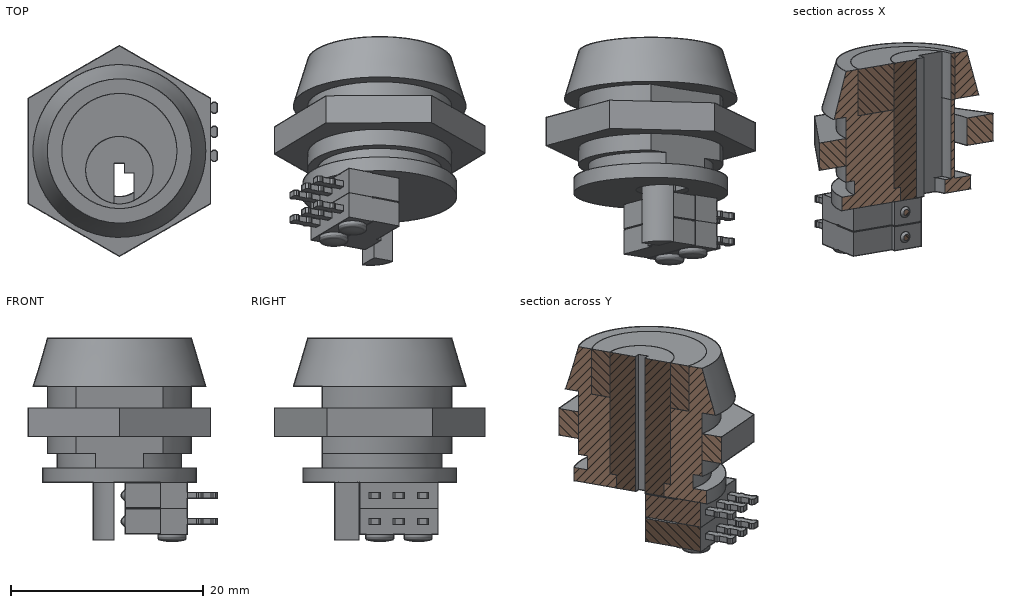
import cadquery as cq
import math


head_bottom_radius = 9.0
head_top_radius = 7.5
head_height = 5.0
barrel_radius = head_top_radius
barrel_bottom = -12.0
neck_radius = 6.5
neck_bottom = -13.5
flange_radius = 8.0
flange_bottom = -15.0
flat_distance = 6.0

disc_radius = flat_distance
disc_bottom = -head_height

plug_offset = 2.0
plug_radius = 3.5
stem_radius = 2.75
stem_top = neck_bottom
tail_length = 6.0
tail_face_y = -2.15
key_left = -0.55
key_step = 0.53
key_right = 1.51
key_tall_end_y = -1.3
key_short_end_y = -2.3

nut_corners = 21.95
nut_top = -7.25
nut_height = 3.0

switch_count = 2
switch_height = 2.7
case_left = 4.25
case_right = 7.06
cover_left = 0.6
cover_gap = 0.055
cover_setback = 0.5
cover_step_y = 1.3
switch_front = -2.06
switch_back = 6.08

plunger_base_radius = 0.6
plunger_tip_radius = 0.26
plunger_cone_length = 0.33
plunger_dome_height = 0.09

terminal_count = 3
terminal_pitch = 2.5
terminal_first_y = -0.5
terminal_thickness = 0.61
terminal_neck = 0.42
terminal_bulge = 0.6
terminal_ramp = 0.22
terminal_bulge_starts = (8.03, 9.55)

screw_x = 5.48
screw_pitch = 4.0
screw_count = 2
screw_radius = 1.47
screw_side_height = 0.35
screw_rounding = 0.26
screw_dome_height = 0.15


def cylinder(radius, top, bottom, y=0.0):
    """Vertical cylinder between two heights."""
    return cq.Workplane("XY", origin=(0, y, bottom)).circle(radius).extrude(top - bottom)


def box(x_range, y_range, z_range):
    """Box between pairs of limits, each given as (low, high)."""
    sizes = [high - low for low, high in (x_range, y_range, z_range)]
    corner = (x_range[0], y_range[0], z_range[0])
    return cq.Workplane("XY").box(*sizes, centered=False).translate(corner)


def dome_arc_middle(rim_radius, height):
    """Radius, and depth below the crown, of the point halfway along the profile arc of a dome."""
    sphere_radius = (rim_radius**2 + height**2) / (2 * height)
    half_angle = math.asin(rim_radius / sphere_radius) / 2
    return sphere_radius * math.sin(half_angle), sphere_radius * (1 - math.cos(half_angle))


def make_housing():
    outline = [
        (0, 0),
        (head_top_radius, 0),
        (head_bottom_radius, -head_height),
        (barrel_radius, -head_height),
        (barrel_radius, barrel_bottom),
        (neck_radius, barrel_bottom),
        (neck_radius, neck_bottom),
        (flange_radius, neck_bottom),
        (flange_radius, flange_bottom),
        (0, flange_bottom),
    ]
    housing = cq.Workplane("XZ").polyline(outline).close().revolve(360, (0, 0), (0, 1))
    flat_cut = box(
        (-barrel_radius, barrel_radius),
        (-barrel_radius, -flat_distance),
        (neck_bottom, -head_height),
    )
    return (
        housing.cut(flat_cut)
        .cut(cylinder(disc_radius, 0, disc_bottom))
        .cut(cylinder(plug_radius, 0, stem_top, -plug_offset))
        .cut(cylinder(stem_radius, stem_top, flange_bottom, -plug_offset))
    )


def make_disc():
    plug_hole = cylinder(plug_radius, 0, disc_bottom, -plug_offset)
    return cylinder(disc_radius, 0, disc_bottom).cut(plug_hole)


def make_plug():
    """Key plug: stepped cylinder with a key slot, and a part-round tail behind the flange."""
    head = cylinder(plug_radius, 0, stem_top, -plug_offset)
    stem = cylinder(stem_radius, stem_top, flange_bottom, -plug_offset)
    slot_open_y = -plug_offset - plug_radius
    slot_height = (flange_bottom, 0)
    tall_slot = box((key_left, key_step), (slot_open_y, key_tall_end_y), slot_height)
    short_slot = box((key_step, key_right), (slot_open_y, key_short_end_y), slot_height)
    tail_bottom = flange_bottom - tail_length
    tail_corner = box(
        (-stem_radius, key_left),
        (-plug_offset - stem_radius, tail_face_y),
        (tail_bottom, flange_bottom),
    )
    tail = cylinder(stem_radius, flange_bottom, tail_bottom, -plug_offset).intersect(tail_corner)
    return head.union(stem).cut(tall_slot).cut(short_slot).union(tail)


def make_nut():
    """Hexagonal nut with two corners on the Y axis."""
    bottom = nut_top - nut_height
    hexagon = (
        cq.Workplane("XY", origin=(0, 0, bottom))
        .polygon(6, nut_corners)
        .extrude(nut_height)
        .rotate((0, 0, 0), (0, 0, 1), 90)
    )
    return hexagon.cut(cylinder(barrel_radius, nut_top, bottom))


def make_plunger(z):
    """Cone with a domed tip, pointing toward -X along the line y = 0."""
    tip = cover_left - plunger_cone_length
    dome_end = tip - plunger_dome_height
    middle_radius, middle_depth = dome_arc_middle(plunger_tip_radius, plunger_dome_height)
    dome_middle = (dome_end + middle_depth, middle_radius)
    return (
        cq.Workplane("XY")
        .moveTo(cover_left, 0)
        .lineTo(cover_left, plunger_base_radius)
        .lineTo(tip, plunger_tip_radius)
        .threePointArc(dome_middle, (dome_end, 0))
        .close()
        .revolve(360, (0, 0), (1, 0))
        .translate((0, 0, z))
    )


def make_terminal(y, z):
    """Flat pin along X that widens into two chamfered bulges, the second one at its end."""
    edge = [(case_right, terminal_neck)]
    for start in terminal_bulge_starts:
        edge += [
            (start, terminal_neck),
            (start + terminal_ramp, terminal_bulge),
            (start + 2 * terminal_ramp, terminal_bulge),
            (start + 3 * terminal_ramp, terminal_neck),
        ]
    other_edge = [(x, -half_width) for x, half_width in reversed(edge)]
    return (
        cq.Workplane("XY")
        .polyline(edge + other_edge)
        .close()
        .extrude(terminal_thickness / 2, both=True)
        .translate((0, y, z))
    )


def make_switch(top):
    bottom = top - switch_height
    middle = (top + bottom) / 2
    cover_height = (bottom + cover_gap, top - cover_gap)
    case = box((case_left, case_right), (switch_front, switch_back), (bottom, top))
    front_cover = box(
        (cover_left, case_left),
        (switch_front + cover_gap, cover_step_y),
        cover_height,
    )
    back_cover = box(
        (cover_left + cover_setback, case_left),
        (cover_step_y, switch_back),
        cover_height,
    )
    switch = case.union(front_cover).union(back_cover).union(make_plunger(middle))
    for index in range(terminal_count):
        switch = switch.union(make_terminal(terminal_first_y + index * terminal_pitch, middle))
    return switch


def make_screw_head(y):
    """Round head with a rounded rim and a shallow dome, pointing down."""
    dome_radius = screw_radius - screw_rounding
    dome_top = -screw_side_height - screw_rounding
    dome_end = dome_top - screw_dome_height
    middle_radius, middle_depth = dome_arc_middle(dome_radius, screw_dome_height)
    dome_middle = (middle_radius, dome_end + middle_depth)
    rim_middle = (
        dome_radius + screw_rounding * math.cos(math.pi / 4),
        -screw_side_height - screw_rounding * math.sin(math.pi / 4),
    )
    seat = flange_bottom - switch_count * switch_height
    return (
        cq.Workplane("XZ")
        .moveTo(0, 0)
        .lineTo(screw_radius, 0)
        .lineTo(screw_radius, -screw_side_height)
        .threePointArc(rim_middle, (dome_radius, dome_top))
        .threePointArc(dome_middle, (0, dome_end))
        .close()
        .revolve(360, (0, 0), (0, 1))
        .translate((screw_x, y, seat))
    )


housing = make_housing()
disc = make_disc()
plug = make_plug()
nut = make_nut()
switches = [make_switch(flange_bottom - index * switch_height) for index in range(switch_count)]
screw_heads = [make_screw_head(index * screw_pitch) for index in range(screw_count)]

result = cq.Compound.makeCompound(
    [
        housing.val(),
        disc.val(),
        plug.val(),
        nut.val(),
        *[switch.val() for switch in switches],
        *[screw_head.val() for screw_head in screw_heads],
    ]
)